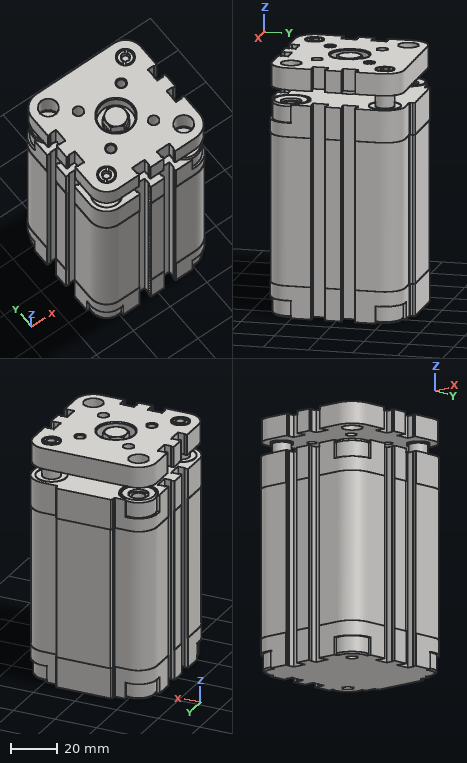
import cadquery as cq
import math


TOTAL_HEIGHT = 112.0
HOUSING_HEIGHT = 95.6
CAP_HEIGHT = 14.5
PLATE_THICKNESS = 9.9
PLATE_BOTTOM = TOTAL_HEIGHT - PLATE_THICKNESS

CAP_WIDTH = 60.0
TUBE_WIDTH = 59.8
PLATE_WIDTH = 59.1
CORNER_OFFSET = 21.0
CUT_MARGIN = 1.1
DIAGONAL = [(-1, -1), (1, 1)]
ANTI_DIAGONAL = [(-1, 1), (1, -1)]

SLOT_SPACING = 13.4
SLOT_WIDTH = 6.7
MOUTH_WIDTH = 5.9
MOUTH_FLARE = 0.2
SLOT_FLOOR = 25.0
MOUTH_START = 28.2
SLOT_SIDES = [-90, 0, 180]

RAIL_TOP = 32.5
RAIL_WIDTH = 27.3
RAIL_CHAMFER_HEIGHT = 0.9
RAIL_CHAMFER_WIDTH = 0.7
RAIL_FOOT = 0.3

NOTCH_HEIGHT = 8.2
FOOT_HEIGHT = 7.8
NOTCH_INSET = 2.1
BOSS_DIAMETER = 16.0
FOOT_CHAMFER = 0.8
GROOVE_DIAMETER = 17.0
GROOVE_DEPTH = 1.0
BOSS_CHAMFER = 0.6
MOUNTING_HOLE = 5.0
SEAT_DIAMETER = 14.0
DISH_DEPTH = 0.6
SCREW_HOLE = 9.0
SCREW_HOLE_DEPTH = 1.6
FUNNEL_DIAMETER = 6.0
FUNNEL_DEPTH = 3.4

ROD_DIAMETER = 12.0
ROD_FLATS = 10.0
FLAT_LENGTH = 4.9
HEX_SIDES = 6
HEX_WIDTH = 10.1
HEX_DROP = 0.6
HEX_TOP = TOTAL_HEIGHT - HEX_DROP
HEX_CHAMFER = 0.3
RECESS_DIAMETER = 17.0
RECESS_DEPTH = 5.6
RECESS_CHAMFER = 0.6
WASHER_HEIGHT = 0.3

GUIDE_DIAMETER = 8.4
BEARING_RECESS_DEPTH = 0.2
FLANGE_DIAMETER = 10.0
FLANGE_HEIGHT = 0.7
GUIDE_GROOVE_TOP = 8.4
GUIDE_GROOVE_FLOOR = 8.0
GUIDE_GROOVE_INNER = 7.2
GUIDE_GROOVE_DEPTH = 0.6
GUIDE_SOCKET_TOP = 4.1
GUIDE_SOCKET_FLOOR = 3.4
GUIDE_SOCKET_DEPTH = 1.7
DRIVER_SLOT_WIDTH = 1.1
DRIVER_SLOT_ANGLE = 45

ACCESS_HOLE = 9.0
PATTERN_OFFSET = 11.6
PIN_HOLE = 4.9
THREAD_HOLE = 4.1
THREAD_CHAMFER = 0.5

ROD_BOTTOM = HOUSING_HEIGHT - CAP_HEIGHT


def cylinder(diameter, bottom, height, x=0.0, y=0.0):
    return cq.Workplane("XY", origin=(x, y, bottom)).circle(diameter / 2).extrude(height)


def cone(bottom_diameter, top_diameter, bottom, height, x=0.0, y=0.0):
    solid = cq.Solid.makeCone(bottom_diameter / 2, top_diameter / 2, height, cq.Vector(x, y, bottom))
    return cq.Workplane(obj=solid)


def corners(signs, offset=CORNER_OFFSET):
    return [(sx * offset, sy * offset) for sx, sy in signs]


def rounded_block(width, bottom, height):
    radius = width / 2 - CORNER_OFFSET
    block = cq.Workplane("XY", origin=(0, 0, bottom)).rect(width, width).extrude(height)
    return block.edges("|Z").fillet(radius)


def slot_cutter(face):
    """Slot along +X that flares where its narrow mouth meets the face."""
    outside = face + CUT_MARGIN
    half_mouth = MOUTH_WIDTH / 2
    upper_side = [
        (SLOT_FLOOR, SLOT_WIDTH / 2),
        (MOUTH_START, SLOT_WIDTH / 2),
        (MOUTH_START, half_mouth),
        (face - MOUTH_FLARE, half_mouth),
        (face, half_mouth + MOUTH_FLARE),
        (outside, half_mouth + MOUTH_FLARE),
    ]
    lower_side = [(x, -y) for x, y in reversed(upper_side)]
    return cq.Workplane("XY").polyline(upper_side + lower_side).close().extrude(TOTAL_HEIGHT)


def cut_slots(body, width):
    """Cut two full-height slots into each of the three slotted sides."""
    cutter = slot_cutter(width / 2)
    for angle in SLOT_SIDES:
        for y in (-SLOT_SPACING / 2, SLOT_SPACING / 2):
            slot = cutter.translate((0, y, 0)).rotate((0, 0, 0), (0, 0, 1), angle)
            body = body.cut(slot)
    return body


def make_rail(inset, bottom, height):
    """Raised rail with a bevelled top and flared foot on the +Y side."""
    half = RAIL_WIDTH / 2 - inset
    base = CAP_WIDTH / 2 - inset
    top = RAIL_TOP - inset
    right_side = [
        (half + RAIL_FOOT, 0),
        (half + RAIL_FOOT, base),
        (half, base + RAIL_FOOT),
        (half, top - RAIL_CHAMFER_HEIGHT),
        (half - RAIL_CHAMFER_WIDTH, top),
    ]
    left_side = [(-x, y) for x, y in reversed(right_side)]
    outline = cq.Workplane("XY", origin=(0, 0, bottom)).polyline(right_side + left_side).close()
    return outline.extrude(height)


def make_section(width, bottom, height):
    """One length of the housing profile."""
    inset = (CAP_WIDTH - width) / 2
    section = rounded_block(width, bottom, height).union(make_rail(inset, bottom, height))
    return cut_slots(section, width)


def corner_notch(x, y, bottom, height, boss):
    """Space cleared around a round boss at one corner."""
    size = CAP_WIDTH / 2 - CORNER_OFFSET + NOTCH_INSET + CUT_MARGIN
    shift = size / 2 - NOTCH_INSET
    center = (x + math.copysign(shift, x), y + math.copysign(shift, y), bottom)
    block = cq.Workplane("XY", origin=center).rect(size, size).extrude(height)
    return block.cut(boss)


def make_foot(x, y):
    foot = cylinder(BOSS_DIAMETER, 0, FOOT_HEIGHT, x, y)
    return foot.faces("<Z").chamfer(FOOT_CHAMFER)


def screw_seat(x, y):
    """Material removed around and inside a top boss over a mounting hole."""
    top_diameter = BOSS_DIAMETER - 2 * BOSS_CHAMFER
    groove_floor = HOUSING_HEIGHT - GROOVE_DEPTH
    groove = cylinder(GROOVE_DIAMETER, groove_floor, GROOVE_DEPTH, x, y)
    groove = groove.cut(cone(BOSS_DIAMETER, top_diameter, groove_floor, GROOVE_DEPTH, x, y))
    dish = cone(SCREW_HOLE, SEAT_DIAMETER, HOUSING_HEIGHT - DISH_DEPTH, DISH_DEPTH, x, y)
    counterbore_floor = HOUSING_HEIGHT - SCREW_HOLE_DEPTH
    counterbore = cylinder(SCREW_HOLE, counterbore_floor, SCREW_HOLE_DEPTH, x, y)
    funnel_bottom = counterbore_floor - FUNNEL_DEPTH
    funnel = cone(MOUNTING_HOLE, FUNNEL_DIAMETER, funnel_bottom, FUNNEL_DEPTH, x, y)
    bore = cylinder(MOUNTING_HOLE, 0, HOUSING_HEIGHT, x, y)
    return groove.union(dish).union(counterbore).union(funnel).union(bore)


def make_housing():
    tube_height = HOUSING_HEIGHT - 2 * CAP_HEIGHT
    housing = make_section(CAP_WIDTH, 0, CAP_HEIGHT)
    housing = housing.union(make_section(TUBE_WIDTH, CAP_HEIGHT, tube_height))
    housing = housing.union(make_section(CAP_WIDTH, ROD_BOTTOM, CAP_HEIGHT))
    for x, y in corners(DIAGONAL + ANTI_DIAGONAL):
        foot = make_foot(x, y)
        housing = housing.cut(corner_notch(x, y, 0, FOOT_HEIGHT, foot))
    notch_bottom = HOUSING_HEIGHT - NOTCH_HEIGHT
    for x, y in corners(ANTI_DIAGONAL):
        boss = cylinder(BOSS_DIAMETER, notch_bottom, NOTCH_HEIGHT, x, y)
        housing = housing.cut(corner_notch(x, y, notch_bottom, NOTCH_HEIGHT, boss))
        housing = housing.cut(screw_seat(x, y))
    for x, y in corners(DIAGONAL):
        housing = housing.cut(cylinder(GUIDE_DIAMETER, ROD_BOTTOM, CAP_HEIGHT, x, y))
        recess_floor = HOUSING_HEIGHT - BEARING_RECESS_DEPTH
        housing = housing.cut(cylinder(SEAT_DIAMETER, recess_floor, BEARING_RECESS_DEPTH, x, y))
    return housing.cut(cylinder(ROD_DIAMETER, ROD_BOTTOM, CAP_HEIGHT))


def make_plate():
    plate = cut_slots(rounded_block(PLATE_WIDTH, PLATE_BOTTOM, PLATE_THICKNESS), PLATE_WIDTH)
    for x, y in corners(ANTI_DIAGONAL):
        plate = plate.cut(cylinder(ACCESS_HOLE, PLATE_BOTTOM, PLATE_THICKNESS, x, y))
    for x, y in corners(ANTI_DIAGONAL, PATTERN_OFFSET):
        plate = plate.cut(cylinder(PIN_HOLE, PLATE_BOTTOM, PLATE_THICKNESS, x, y))
    chamfer_diameter = THREAD_HOLE + 2 * THREAD_CHAMFER
    for x, y in corners(DIAGONAL, PATTERN_OFFSET):
        plate = plate.cut(cylinder(THREAD_HOLE, PLATE_BOTTOM, PLATE_THICKNESS, x, y))
        chamfer_bottom = TOTAL_HEIGHT - THREAD_CHAMFER
        plate = plate.cut(cone(THREAD_HOLE, chamfer_diameter, chamfer_bottom, THREAD_CHAMFER, x, y))
    return plate


def guide_rod(x, y):
    rod = cylinder(GUIDE_DIAMETER, ROD_BOTTOM, PLATE_BOTTOM - ROD_BOTTOM, x, y)
    return rod.union(cylinder(FLANGE_DIAMETER, PLATE_BOTTOM - FLANGE_HEIGHT, FLANGE_HEIGHT, x, y))


def guide_screw_cut(x, y):
    """Ring groove, tapered socket and driver slot in the end of a guide rod."""
    floor = TOTAL_HEIGHT - GUIDE_GROOVE_DEPTH
    ring = cone(GUIDE_GROOVE_FLOOR, GUIDE_GROOVE_TOP, floor, GUIDE_GROOVE_DEPTH, x, y)
    ring = ring.cut(cylinder(GUIDE_GROOVE_INNER, floor, GUIDE_GROOVE_DEPTH, x, y))
    socket_floor = TOTAL_HEIGHT - GUIDE_SOCKET_DEPTH
    socket = cone(GUIDE_SOCKET_FLOOR, GUIDE_SOCKET_TOP, socket_floor, GUIDE_SOCKET_DEPTH, x, y)
    slot = (
        cq.Workplane("XY", origin=(x, y, floor))
        .transformed(rotate=(0, 0, DRIVER_SLOT_ANGLE))
        .rect(GUIDE_GROOVE_INNER, DRIVER_SLOT_WIDTH)
        .extrude(GUIDE_GROOVE_DEPTH)
    )
    return ring.union(socket).union(slot)


def piston_rod():
    """Round rod with two flats below the plate."""
    rod = cylinder(ROD_DIAMETER, ROD_BOTTOM, PLATE_BOTTOM - ROD_BOTTOM)
    flats = cq.Workplane("XY", origin=(0, 0, PLATE_BOTTOM - FLAT_LENGTH))
    flats = flats.rect(ROD_DIAMETER, ROD_DIAMETER).rect(ROD_DIAMETER, ROD_FLATS).extrude(FLAT_LENGTH)
    return rod.cut(flats)


def rod_recess():
    """Chamfered recess in the top of the plate."""
    recess = cylinder(RECESS_DIAMETER, TOTAL_HEIGHT - RECESS_DEPTH, RECESS_DEPTH)
    rim_diameter = RECESS_DIAMETER + 2 * RECESS_CHAMFER
    rim = cone(RECESS_DIAMETER, rim_diameter, TOTAL_HEIGHT - RECESS_CHAMFER, RECESS_CHAMFER)
    return recess.union(rim)


def rod_end():
    """Washer face and chamfered hexagon standing in the recess."""
    floor = TOTAL_HEIGHT - RECESS_DEPTH
    height = HEX_TOP - floor
    corner_diameter = HEX_WIDTH / math.cos(math.pi / HEX_SIDES)
    hexagon = cq.Workplane("XY", origin=(0, 0, floor)).polygon(HEX_SIDES, corner_diameter).extrude(height)
    hexagon = hexagon.rotate((0, 0, 0), (0, 0, 1), 180 / HEX_SIDES)
    envelope = cylinder(corner_diameter, floor, height - HEX_CHAMFER)
    envelope = envelope.union(cone(corner_diameter, HEX_WIDTH, HEX_TOP - HEX_CHAMFER, HEX_CHAMFER))
    return cylinder(ROD_DIAMETER, floor, WASHER_HEIGHT).union(hexagon.intersect(envelope))


def make_yoke():
    yoke = make_plate().cut(rod_recess()).union(rod_end()).union(piston_rod())
    for x, y in corners(DIAGONAL):
        yoke = yoke.union(guide_rod(x, y)).cut(guide_screw_cut(x, y))
    return yoke


housing = make_housing()
yoke = make_yoke()
result = cq.Compound.makeCompound([housing.val(), yoke.val()])